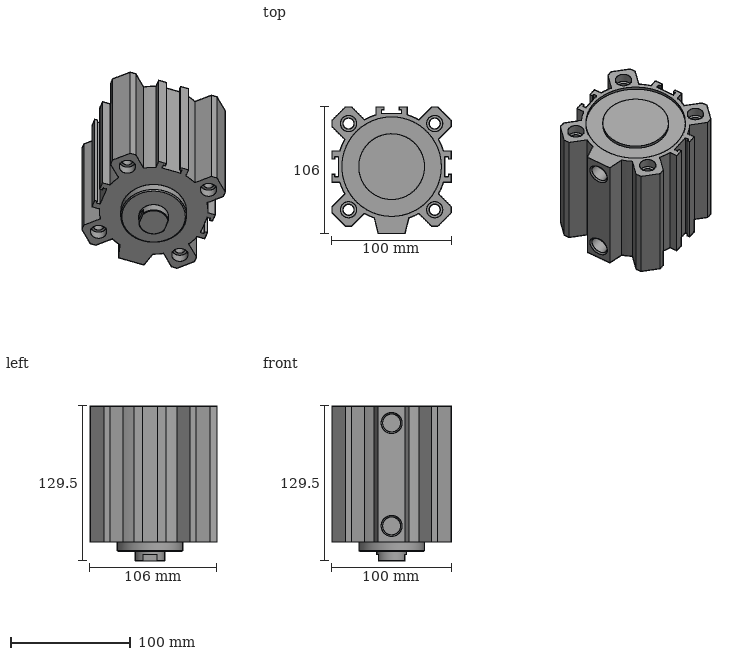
import cadquery as cq
import math

body_length = 113.5
barrel_diameter = 90.6
body_half_width = 50.0

bolt_offset = 36.0
lug_width = 23.3
bolt_diameter = 9.0
counterbore_diameter = 13.5
counterbore_depth = 8.5

rail_width = 26.5
slot_width = 16.5
slot_mouth_width = 12.5
slot_depth = 5.5
slot_lip_thickness = 2.5

port_boss_reach = 56.0
port_boss_face_width = 22.5
port_boss_flank_angle = 14.0

port_diameter = 14.95
port_mouth_diameter = 17.5
port_mouth_depth = 1.3
port_depth = 12.0
upper_port_distance = 14.0
lower_port_distance = 13.5

recess_diameter = 83.2
recess_depth = 2.5

collar_diameter = 55.0
collar_length = 8.0
collar_chamfer = 1.0

rod_diameter = 25.0
rod_protrusion = 8.0
rod_chamfer = 0.5
wrench_flat_width = 22.2
wrench_flat_length = 5.5

body_bottom = -body_length
collar_bottom = body_bottom - collar_length
rod_bottom = collar_bottom - rod_protrusion


def corner_positions():
    return [(sx * bolt_offset, sy * bolt_offset) for sx in (-1, 1) for sy in (-1, 1)]


def up_from_bottom():
    return cq.Workplane("XY").workplane(offset=body_bottom)


def corner_lugs():
    turned_squares = (
        up_from_bottom()
        .pushPoints(corner_positions())
        .polygon(4, lug_width * math.sqrt(2))
        .extrude(body_length)
    )
    envelope = up_from_bottom().rect(2 * body_half_width, 2 * body_half_width).extrude(body_length)
    return turned_squares.intersect(envelope)


def rail():
    """Rail block on the +Y side, reaching in to the cylinder axis."""
    return (
        up_from_bottom()
        .center(0, body_half_width / 2)
        .rect(rail_width, body_half_width)
        .extrude(body_length)
    )


def t_slot():
    """T-shaped slot for the rail on the +Y side."""
    pocket_depth = slot_depth - slot_lip_thickness
    slot_floor = body_half_width - slot_depth
    mouth = (
        up_from_bottom()
        .center(0, body_half_width - slot_depth / 2)
        .rect(slot_mouth_width, slot_depth)
        .extrude(body_length)
    )
    pocket = (
        up_from_bottom()
        .center(0, slot_floor + pocket_depth / 2)
        .rect(slot_width, pocket_depth)
        .extrude(body_length)
    )
    return mouth.union(pocket)


def port_boss():
    face_half = port_boss_face_width / 2
    root_half = face_half + port_boss_reach * math.tan(math.radians(port_boss_flank_angle))
    wedge = [
        (-face_half, -port_boss_reach),
        (face_half, -port_boss_reach),
        (root_half, 0),
        (-root_half, 0),
    ]
    return up_from_bottom().polyline(wedge).close().extrude(body_length)


def air_port(z):
    """Blind port with a conical mouth, revolved about its axis along Y."""
    bore_radius = port_diameter / 2
    profile = [
        (0, -port_boss_reach),
        (port_mouth_diameter / 2, -port_boss_reach),
        (bore_radius, -port_boss_reach + port_mouth_depth),
        (bore_radius, -port_boss_reach + port_depth),
        (0, -port_boss_reach + port_depth),
    ]
    cutter = cq.Workplane("XY").polyline(profile).close().revolve(360, (0, 0), (0, 1))
    return cutter.translate((0, 0, z))


def bolt_holes():
    """Through holes, counterbored at both ends."""
    through = up_from_bottom().pushPoints(corner_positions()).circle(bolt_diameter / 2).extrude(body_length)
    counterbores = [
        cq.Workplane("XY")
        .workplane(offset=z)
        .pushPoints(corner_positions())
        .circle(counterbore_diameter / 2)
        .extrude(counterbore_depth)
        for z in (body_bottom, -counterbore_depth)
    ]
    return through.union(counterbores[0]).union(counterbores[1])


def top_recess():
    return (
        cq.Workplane("XY")
        .circle(recess_diameter / 2)
        .circle(collar_diameter / 2)
        .extrude(-recess_depth)
    )


def collar():
    return (
        cq.Workplane("XY")
        .workplane(offset=collar_bottom)
        .circle(collar_diameter / 2)
        .extrude(collar_length)
        .faces("<Z")
        .chamfer(collar_chamfer)
    )


def rod_seat():
    return (
        cq.Workplane("XY")
        .workplane(offset=collar_bottom)
        .circle(rod_diameter / 2)
        .extrude(collar_length)
    )


def make_housing():
    housing = up_from_bottom().circle(barrel_diameter / 2).extrude(body_length)
    housing = housing.union(corner_lugs()).union(port_boss())
    rail_angles = (-90, 0, 90)
    for angle in rail_angles:
        housing = housing.union(rail().rotate((0, 0, 0), (0, 0, 1), angle))
    for angle in rail_angles:
        housing = housing.cut(t_slot().rotate((0, 0, 0), (0, 0, 1), angle))
    for z in (-upper_port_distance, body_bottom + lower_port_distance):
        housing = housing.cut(air_port(z))
    housing = housing.cut(bolt_holes()).cut(top_recess())
    return housing.union(collar()).cut(rod_seat())


def make_rod():
    rod = (
        cq.Workplane("XY")
        .workplane(offset=rod_bottom)
        .circle(rod_diameter / 2)
        .extrude(rod_protrusion + collar_length)
        .faces("<Z")
        .chamfer(rod_chamfer)
    )
    flat_cutter = (
        cq.Workplane("XY")
        .workplane(offset=rod_bottom)
        .rect(2 * rod_diameter, 2 * rod_diameter)
        .rect(wrench_flat_width, 2 * rod_diameter)
        .extrude(wrench_flat_length)
    )
    return rod.cut(flat_cutter)


housing = make_housing()
rod = make_rod()

result = cq.Compound.makeCompound([housing.val(), rod.val()])